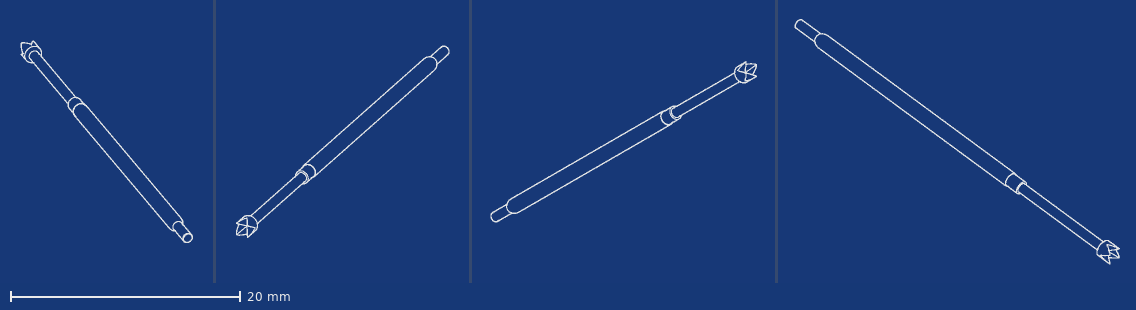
import cadquery as cq

head_radius = 0.79
head_length = 1.4
head_cone_length = 0.2
groove_depth = 0.92
tip_offset = 0.52

total_length = 39.62
plunger_radius = 0.45
barrel_start = 11.65
collar_length = 1.35
barrel_taper_length = 0.2
barrel_edge_radius = 0.66
collar_radius = 0.62
barrel_radius = 0.68
nose_length = 0.6

tail_length = 2.5
tail_radius = 0.45
tail_chamfer = 0.05


def make_probe_body():
    """Revolve the stepped half-profile of the probe about the X axis."""
    head_cone_end = head_length + head_cone_length
    collar_end = barrel_start + collar_length
    barrel_full_start = collar_end + barrel_taper_length
    tail_start = total_length - tail_length
    nose_start = tail_start - nose_length
    outline = (
        cq.Workplane("XY")
        .lineTo(0, head_radius)
        .lineTo(head_length, head_radius)
        .lineTo(head_cone_end, plunger_radius)
        .lineTo(barrel_start, plunger_radius)
        .lineTo(barrel_start, collar_radius)
        .lineTo(collar_end, collar_radius)
        .lineTo(collar_end, barrel_edge_radius)
        .lineTo(barrel_full_start, barrel_radius)
        .lineTo(nose_start, barrel_radius)
        .tangentArcPoint((tail_start, tail_radius), relative=False)
        .lineTo(total_length - tail_chamfer, tail_radius)
        .lineTo(total_length, tail_radius - tail_chamfer)
        .lineTo(total_length, 0)
        .close()
    )
    return outline.revolve(360, (0, 0, 0), (1, 0, 0))


def make_crown_groove(angle):
    """V groove across the head, turned about the X axis; two of them leave four points."""
    triangle = [(0, -tip_offset), (groove_depth, 0), (0, tip_offset)]
    groove = cq.Workplane("XZ").polyline(triangle).close().extrude(2 * head_radius, both=True)
    return groove.rotate((0, 0, 0), (1, 0, 0), angle)


result = make_probe_body()
for groove_angle in (0, 90):
    result = result.cut(make_crown_groove(groove_angle))